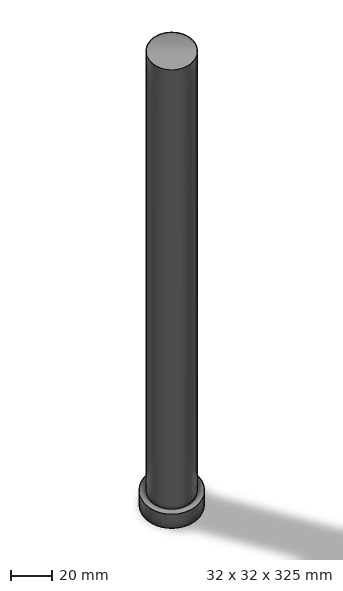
import cadquery as cq

total_length = 325.0
shaft_diameter = 25.0
head_diameter = 32.0
head_thickness = 10.0

head = cq.Workplane("XY").circle(head_diameter / 2).extrude(head_thickness)

shaft = cq.Workplane("XY").circle(shaft_diameter / 2).extrude(total_length)

result = head.union(shaft)